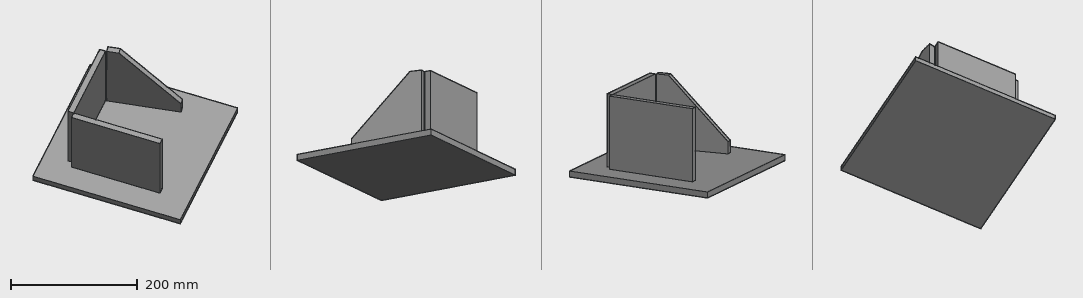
import cadquery as cq
import math

BASE_SIDE = 250.0
PLATE_THICKNESS = 10.0

WALL_HEIGHT = 120.0
FRONT_WALL_LENGTH = 150.0
INNER_CORNER = -75.0

ANGLED_WALL_LENGTH = 120.0
ANGLED_WALL_FLAT_TOP = 20.0
ANGLED_WALL_END_HEIGHT = 20.0
ANGLED_WALL_TURN = 10.0
ANGLED_WALL_NEAR_Y = 63.5

LEFT_WALL_LENGTH = ANGLED_WALL_NEAR_Y - INNER_CORNER


def make_base_plate():
    return cq.Workplane("XY").box(BASE_SIDE, BASE_SIDE, PLATE_THICKNESS, centered=(True, True, False))


def make_straight_wall(length_x, length_y, corner_x, corner_y):
    """Upright rectangular wall, placed by its lowest X and Y corner."""
    wall = cq.Workplane("XY").box(length_x, length_y, WALL_HEIGHT, centered=False)
    return wall.translate((corner_x, corner_y, PLATE_THICKNESS))


def make_angled_wall():
    """Wall whose top slopes down to a low far end, turned about its rear left edge."""
    profile = [
        (0, 0),
        (ANGLED_WALL_LENGTH, 0),
        (ANGLED_WALL_LENGTH, ANGLED_WALL_END_HEIGHT),
        (ANGLED_WALL_FLAT_TOP, WALL_HEIGHT),
        (0, WALL_HEIGHT),
    ]
    wall = cq.Workplane("XZ").polyline(profile).close().extrude(PLATE_THICKNESS)
    wall = wall.rotate((0, 0, 0), (0, 0, 1), ANGLED_WALL_TURN)
    thickness_along_y = PLATE_THICKNESS * math.cos(math.radians(ANGLED_WALL_TURN))
    rear_edge_y = ANGLED_WALL_NEAR_Y + thickness_along_y
    return wall.translate((INNER_CORNER, rear_edge_y, PLATE_THICKNESS))


base_plate = make_base_plate()
front_wall = make_straight_wall(
    FRONT_WALL_LENGTH, PLATE_THICKNESS, INNER_CORNER, INNER_CORNER - PLATE_THICKNESS
)
left_wall = make_straight_wall(
    PLATE_THICKNESS, LEFT_WALL_LENGTH, INNER_CORNER - PLATE_THICKNESS, INNER_CORNER
)
angled_wall = make_angled_wall()

result = cq.Compound.makeCompound(
    [base_plate.val(), front_wall.val(), left_wall.val(), angled_wall.val()]
)